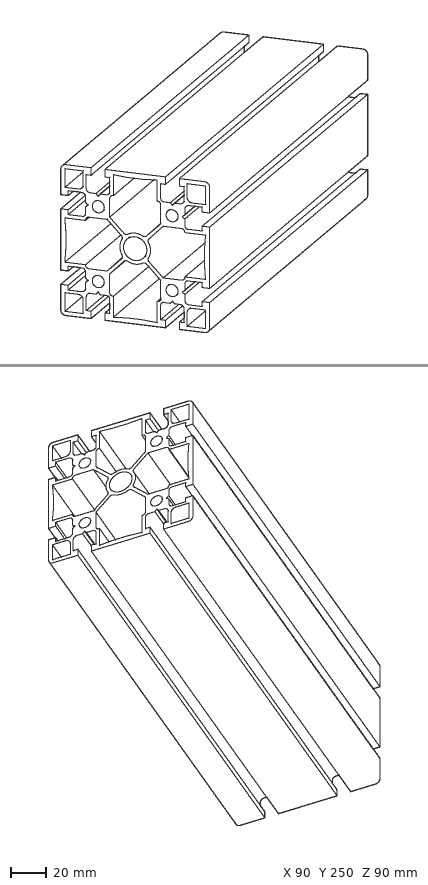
import cadquery as cq
import math

SIDE = 90.0
LENGTH = 250.0
CORNER_RADIUS = 3.0
HALF = SIDE / 2

SLOT_OFFSET = 22.5
SLOT_MOUTH = 8.4
SLOT_DEPTH = 15.0
SLOT_POCKET = 14.2
LIP_THICKNESS = 4.5
SLOT_OUTER_RADIUS = 2.5
SLOT_INNER_RADIUS = 2.0
GROOVE_DEPTH = 1.5
GROOVE_HALF_WIDTH = 1.2

HOLLOW_NEAR = 2.5
HOLLOW_FAR = 13.6
HOLLOW_RADIUS = 3.0

CHANNEL_HALF_WIDTH = 13.2
CHANNEL_WALL_EDGE = 2.5
CHANNEL_WALL_MIDDLE = 3.2
CORE_INNER = 15.4
STEP_RADIUS = 2.0

WEB_THICKNESS = 2.2
WEB_FILLET = 1.8
TUBE_OUTER_DIAMETER = 18.5
TUBE_BORE = 14.14
SCREW_HOLE = 7.23
CORE_OFFSET = 22.3


def prism(profile):
    """Extrude an XZ profile over the whole length, centred on Y = 0."""
    return profile.extrude(LENGTH / 2, both=True)


def outline(points):
    return prism(cq.Workplane("XZ").polyline(points).close())


def rod(diameter, places):
    return prism(cq.Workplane("XZ").pushPoints(places).circle(diameter / 2))


def quarter_turns(solid):
    return [solid.rotate((0, 0, 0), (0, 1, 0), 90 * turn) for turn in range(4)]


def corner_hollow():
    size = HOLLOW_FAR - HOLLOW_NEAR
    middle = HALF - (HOLLOW_FAR + HOLLOW_NEAR) / 2
    hollow = prism(cq.Workplane("XZ").center(middle, middle).rect(size, size))
    return hollow.edges("|Y and <X and <Z").fillet(HOLLOW_RADIUS)


def slot():
    """T-slot in the top side, right of the bar axis."""
    floor = HALF - SLOT_DEPTH
    mouth = SLOT_MOUTH / 2
    pocket_left = SLOT_OFFSET - SLOT_POCKET / 2
    pocket_right = SLOT_OFFSET + SLOT_POCKET / 2
    lip = HALF - LIP_THICKNESS
    opening = outline([
        (SLOT_OFFSET - mouth, floor),
        (SLOT_OFFSET - mouth, HALF),
        (SLOT_OFFSET + mouth, HALF),
        (SLOT_OFFSET + mouth, floor),
    ])
    pocket = outline([(pocket_left, floor), (pocket_left, lip), (pocket_right, lip), (pocket_right, floor)])
    pocket = pocket.edges("|Y and <Z and <X").fillet(SLOT_INNER_RADIUS)
    pocket = pocket.edges("|Y and <Z and >X").fillet(SLOT_OUTER_RADIUS)
    groove = outline([
        (SLOT_OFFSET - GROOVE_HALF_WIDTH, floor),
        (SLOT_OFFSET, floor - GROOVE_DEPTH),
        (SLOT_OFFSET + GROOVE_HALF_WIDTH, floor),
    ])
    return opening.union(pocket).union(groove)


def channel():
    """Hollow below the top side, narrowing between two webs down to the centre tube."""
    core_top = HALF - SLOT_DEPTH
    web_rise = WEB_THICKNESS / math.sqrt(2)
    corner = HALF - CHANNEL_WALL_EDGE
    step = core_top - STEP_RADIUS
    profile = (
        cq.Workplane("XZ")
        .moveTo(0, web_rise)
        .lineTo(CORE_INNER, CORE_INNER + web_rise)
        .lineTo(CORE_INNER, step)
        .radiusArc((CORE_INNER - STEP_RADIUS, core_top), -STEP_RADIUS)
        .lineTo(CHANNEL_HALF_WIDTH, core_top)
        .lineTo(CHANNEL_HALF_WIDTH, corner)
        .threePointArc((0, HALF - CHANNEL_WALL_MIDDLE), (-CHANNEL_HALF_WIDTH, corner))
        .lineTo(-CHANNEL_HALF_WIDTH, core_top)
        .lineTo(STEP_RADIUS - CORE_INNER, core_top)
        .radiusArc((-CORE_INNER, step), -STEP_RADIUS)
        .lineTo(-CORE_INNER, CORE_INNER + web_rise)
        .close()
    )
    hollow = prism(profile).cut(rod(TUBE_OUTER_DIAMETER, [(0, 0)]))
    tube_radius = TUBE_OUTER_DIAMETER / 2
    near_tube = cq.selectors.BoxSelector((-tube_radius, -LENGTH, 0), (tube_radius, LENGTH, tube_radius))
    return hollow.edges("|Y").edges(near_tube).fillet(WEB_FILLET)


def build():
    body = prism(cq.Workplane("XZ").rect(SIDE, SIDE)).edges("|Y").fillet(CORNER_RADIUS)
    top_slot = slot()
    for cutter in (corner_hollow(), top_slot, top_slot.mirror("YZ"), channel()):
        for turned in quarter_turns(cutter):
            body = body.cut(turned)

    core_centres = [(x, z) for x in (-CORE_OFFSET, CORE_OFFSET) for z in (-CORE_OFFSET, CORE_OFFSET)]
    body = body.cut(rod(TUBE_BORE, [(0, 0)]))
    return body.cut(rod(SCREW_HOLE, core_centres))


result = build()